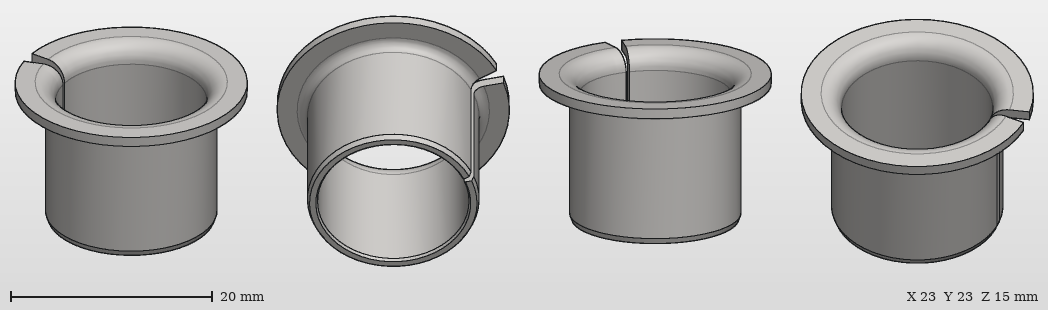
import cadquery as cq
import math

flange_radius = 11.5
height = 15.0
wall = 1.0
bore_radius = 7.5
mouth_radius = 2 * wall
neck_radius = mouth_radius - wall
lead_in_height = 0.6
lead_in_angle = 20.0
bore_chamfer_height = 0.3
bore_chamfer_angle = 30.0

split_half_angle = 10.0
split_bore_gap = 0.35

body_radius = bore_radius + wall
neck_center_radius = bore_radius + mouth_radius
neck_center_z = height - mouth_radius
lead_in_depth = lead_in_height * math.tan(math.radians(lead_in_angle))
bore_chamfer_depth = bore_chamfer_height * math.tan(math.radians(bore_chamfer_angle))
diagonal = math.sqrt(0.5)


def arc_midpoint(radius):
    """Middle of a quarter arc around the neck center, on the -X side."""
    offset = radius * diagonal
    return (-neck_center_radius + offset, neck_center_z + offset)


def make_sleeve():
    """Wall profile on the -X side, revolved around Z so its seam falls in the split."""
    return (
        cq.Workplane("XZ")
        .moveTo(-bore_radius, bore_chamfer_height)
        .lineTo(-bore_radius - bore_chamfer_depth, 0)
        .lineTo(-body_radius + lead_in_depth, 0)
        .lineTo(-body_radius, lead_in_height)
        .lineTo(-body_radius, neck_center_z)
        .threePointArc(arc_midpoint(neck_radius), (-neck_center_radius, height - wall))
        .lineTo(-flange_radius, height - wall)
        .lineTo(-flange_radius, height)
        .lineTo(-neck_center_radius, height)
        .threePointArc(arc_midpoint(mouth_radius), (-bore_radius, neck_center_z))
        .close()
        .revolve(360, (0, 0, 0), (0, 1, 0))
    )


def make_split():
    """Wedge through the wall, with its tip inside the bore."""
    slope = math.tan(math.radians(split_half_angle))
    tip_x = -bore_radius + split_bore_gap / 2 / slope
    outer_x = -flange_radius - wall
    outer_half_width = (tip_x - outer_x) * slope
    return (
        cq.Workplane("XY")
        .polyline([(tip_x, 0), (outer_x, outer_half_width), (outer_x, -outer_half_width)])
        .close()
        .extrude(height)
    )


result = make_sleeve().cut(make_split())